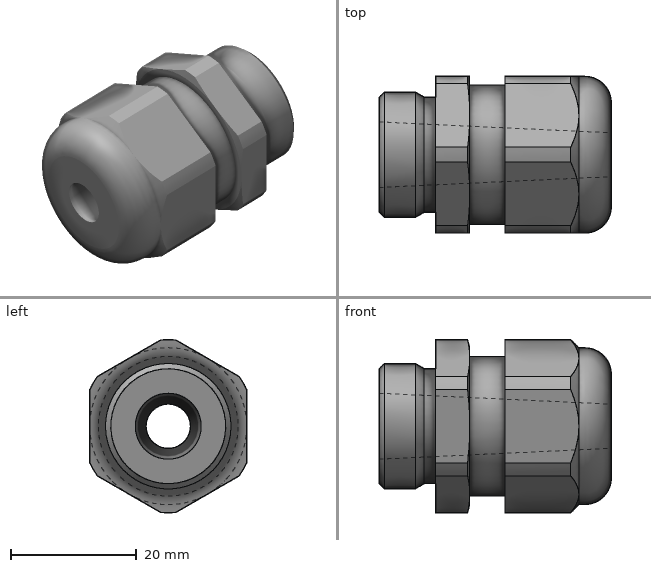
import cadquery as cq
import math

LENGTH = 37.0
ACROSS_FLATS = 25.0
FLAT_RADIUS = ACROSS_FLATS / 2
CORNER_RADIUS = 13.8

THREAD_RADIUS = 10.0
NECK_RADIUS = 9.18
THREAD_CHAMFER = 0.85
THREAD_END = 5.77
NECK_START = 7.18

BODY_HEX_START = 9.0
BODY_HEX_END = 14.43
BODY_HEX_BEVEL = 0.35
COLLAR_RADIUS = 11.15

NUT_START = 20.0
NUT_BEVEL_END = 31.82
NUT_BEVEL = CORNER_RADIUS - FLAT_RADIUS
DOME_START = 32.75
DOME_RADIUS = LENGTH - DOME_START

BORE_FRONT_RADIUS = 5.25
BORE_BACK_RADIUS = 3.5


def revolve_about_x(profile):
    """Revolve a closed XZ profile, with Z as the radius, around the X axis."""
    return profile.close().revolve(360, (0, 0, 0), (1, 0, 0))


def bevelled_hexagon(start, end, bevel):
    """Hexagon with flats facing +/-Y, turned-down corners and a conical bevel on the +X end."""
    thickness = end - start
    corner_to_corner = ACROSS_FLATS / math.cos(math.radians(30))
    prism = (
        cq.Workplane("YZ", origin=(start, 0, 0))
        .transformed(rotate=(0, 0, 90))
        .polygon(6, corner_to_corner)
        .extrude(thickness)
    )
    turned_blank = revolve_about_x(
        cq.Workplane("XZ")
        .moveTo(start, 0)
        .lineTo(start, CORNER_RADIUS)
        .lineTo(end - bevel, CORNER_RADIUS)
        .lineTo(end, FLAT_RADIUS)
        .lineTo(end, 0)
    )
    return prism.intersect(turned_blank)


def turned_core():
    """Round parts in one profile: thread, neck, collar, nut shoulder and dome."""
    dome_mid_offset = DOME_RADIUS * math.sin(math.pi / 4)
    dome_centre_radius = FLAT_RADIUS - DOME_RADIUS
    return revolve_about_x(
        cq.Workplane("XZ")
        .lineTo(0, THREAD_RADIUS - THREAD_CHAMFER)
        .lineTo(THREAD_CHAMFER, THREAD_RADIUS)
        .lineTo(THREAD_END, THREAD_RADIUS)
        .lineTo(NECK_START, NECK_RADIUS)
        .lineTo(BODY_HEX_START, NECK_RADIUS)
        .lineTo(BODY_HEX_START, COLLAR_RADIUS)
        .lineTo(NUT_BEVEL_END, COLLAR_RADIUS)
        .lineTo(NUT_BEVEL_END, FLAT_RADIUS)
        .lineTo(DOME_START, FLAT_RADIUS)
        .threePointArc(
            (DOME_START + dome_mid_offset, dome_centre_radius + dome_mid_offset),
            (LENGTH, dome_centre_radius),
        )
        .lineTo(LENGTH, 0)
    )


def tapered_bore():
    """Cone through the full length, narrowing towards the dome."""
    return revolve_about_x(
        cq.Workplane("XZ")
        .lineTo(0, BORE_FRONT_RADIUS)
        .lineTo(LENGTH, BORE_BACK_RADIUS)
        .lineTo(LENGTH, 0)
    )


body_hexagon = bevelled_hexagon(BODY_HEX_START, BODY_HEX_END, BODY_HEX_BEVEL)
nut_hexagon = bevelled_hexagon(NUT_START, NUT_BEVEL_END, NUT_BEVEL)
result = turned_core().union(body_hexagon).union(nut_hexagon).cut(tapered_bore())